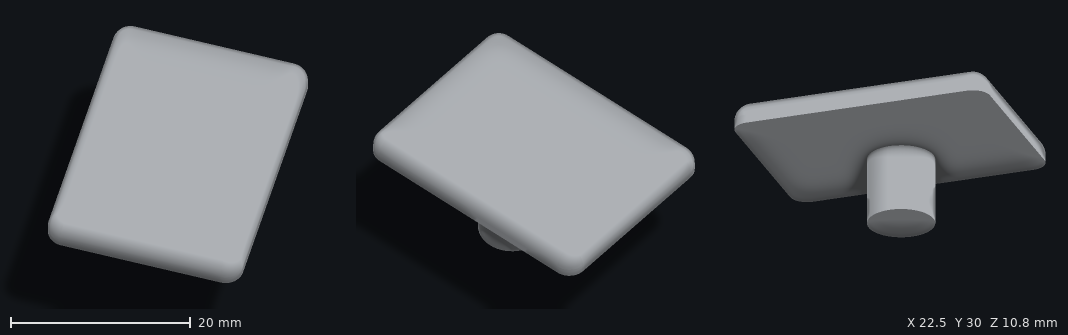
import cadquery as cq

cap_width = 22.5
cap_length = 30.0
cap_thickness = 3.0
edge_radius = 2.0

total_height = 10.8
stem_diameter = 7.62
stem_offset = 3.75
stem_height = total_height - cap_thickness


def make_cap():
    """Plate standing on Z = 0, with ball-shaped upper corners."""
    plate = cq.Workplane("XY").box(
        cap_width, cap_length, cap_thickness, centered=(True, True, False)
    )
    return plate.edges("|Z or >Z").fillet(edge_radius)


def make_stem():
    """Cylinder hanging from the underside of the cap."""
    return (
        cq.Workplane("XY")
        .center(stem_offset, 0)
        .circle(stem_diameter / 2)
        .extrude(-stem_height)
    )


result = make_cap().union(make_stem())